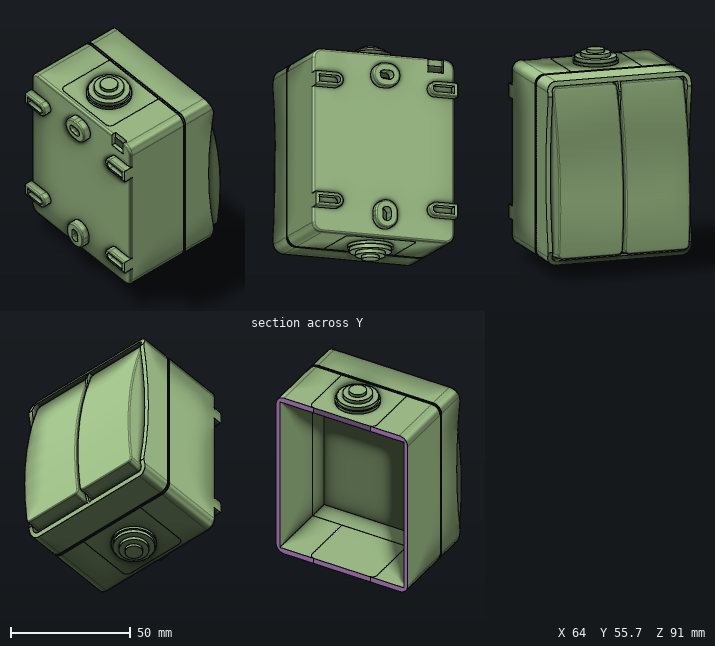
import cadquery as cq

WIDTH = 64.0
HEIGHT = 79.2
CORNER_RADIUS = 4.1
BACK_EDGE_RADIUS = 1.0
HALF_WIDTH = WIDTH / 2
HALF_HEIGHT = HEIGHT / 2

SIDE_WALL = 2.0
END_WALL = 2.8
BACK_WALL = 1.8
CAVITY_WIDTH = WIDTH - 2 * SIDE_WALL
CAVITY_HEIGHT = HEIGHT - 2 * END_WALL

SEAM_Y = 29.4
GROOVE_WIDTH = 0.9
GROOVE_DEPTH = 0.4

STANDOFF = 3.55
STANDOFF_EDGE_RADIUS = 0.6
FOOT_LENGTH = 12.5
FOOT_HEIGHT = 6.1
FOOT_Z = 26.0
FOOT_POCKET_WALL = 1.5
BOSS_Z = 29.9
BOSS_LENGTH = 12.0
BOSS_WIDTH = 10.0
SCREW_SLOT_LENGTH = 6.1
SCREW_SLOT_WIDTH = 3.8

NOTCH_X_MIN = 19.8
NOTCH_WIDTH = 7.1
NOTCH_DEPTH = 2.1
NOTCH_HEIGHT = 6.0

PLATE_WIDTH = 31.6
PLATE_BOTTOM_Y = 2.1
PLATE_CORNER_RADIUS = 2.3
GLAND_Y = 15.4
GLAND_STEPS = [(9.6, 1.3), (8.8, 2.9), (6.3, 4.55), (3.7, 5.9)]

COVER_END_Y = 43.95
CREST_Y = 46.0
CREST_Z = 33.5
HOLLOW_Y = 42.95
RECESS_FLOOR_Y = 40.95
COVER_FLOOR = 2.0
RECESS_CORNER_RADIUS = CORNER_RADIUS - SIDE_WALL
DIVIDER_WIDTH = 1.0

ROCKER_WIDTH = 28.7
ROCKER_PEAK_Y = 52.1
ROCKER_PEAK_Z = -13.1
ROCKER_UPPER_Y = 43.3
ROCKER_UPPER_Z = 36.7
ROCKER_LOWER_Y = 50.5
ROCKER_LOWER_Z = -35.7
ROCKER_FOOT_Z = -36.7
ROCKER_CORNER_RADIUS = 2.0
ROCKER_FACE_RADIUS = 0.55


def block(x_size, z_size, y_start, y_end):
    """Box centred on the Y axis between two depths."""
    mid_y = (y_start + y_end) / 2
    return cq.Workplane("XY", origin=(0, mid_y, 0)).box(x_size, y_end - y_start, z_size)


def rounded_block(x_size, z_size, radius, y_start, y_end):
    """Block with its four Y-running edges rounded."""
    return block(x_size, z_size, y_start, y_end).edges("|Y").fillet(radius)


def stadium(length, width, y_start, y_end):
    """Round-ended bar, long in X, between two depths."""
    return (
        cq.Workplane("XZ", origin=(0, y_end, 0))
        .slot2D(length, width)
        .extrude(y_end - y_start)
    )


def half_stadium(outer_x, inner_x, width, y_start, y_end):
    """Bar along X with a square end at outer_x and a round end at inner_x (outer_x < inner_x)."""
    radius = width / 2
    return (
        cq.Workplane("XZ", origin=(0, y_end, 0))
        .moveTo(outer_x, -radius)
        .lineTo(inner_x - radius, -radius)
        .threePointArc((inner_x, 0), (inner_x - radius, radius))
        .lineTo(outer_x, radius)
        .close()
        .extrude(y_end - y_start)
    )


def foot():
    """Left-hand foot at Z = 0: flush with the side face, with a blind pocket from the back."""
    inner_x = -HALF_WIDTH + FOOT_LENGTH
    body = half_stadium(-HALF_WIDTH, inner_x, FOOT_HEIGHT, -STANDOFF, BACK_EDGE_RADIUS)
    body = body.faces("<Y").edges("not <X").fillet(STANDOFF_EDGE_RADIUS)
    pocket = half_stadium(
        -HALF_WIDTH + FOOT_POCKET_WALL,
        inner_x - FOOT_POCKET_WALL,
        FOOT_HEIGHT - 2 * FOOT_POCKET_WALL,
        -STANDOFF,
        0,
    )
    return body.cut(pocket)


def boss(turn):
    """Screw boss at Z = 0, turned by an angle about Y."""
    body = stadium(BOSS_LENGTH, BOSS_WIDTH, -STANDOFF, BACK_WALL)
    body = body.faces("<Y").edges().fillet(STANDOFF_EDGE_RADIUS)
    return body.rotate((0, 0, 0), (0, 1, 0), turn)


def screw_slot(turn):
    """Through slot of a screw boss at Z = 0, turned by an angle about Y."""
    slot = stadium(SCREW_SLOT_LENGTH, SCREW_SLOT_WIDTH, -STANDOFF, BACK_WALL)
    return slot.rotate((0, 0, 0), (0, 1, 0), turn)


def latch_notch():
    """Corner notch; below the end wall it opens through the back wall into the cavity."""
    corner = (NOTCH_X_MIN, 0, HALF_HEIGHT - NOTCH_HEIGHT)
    notch = cq.Workplane("XY", origin=corner)
    return notch.box(NOTCH_WIDTH, NOTCH_DEPTH, NOTCH_HEIGHT, centered=False)


def plate():
    """Slide-in plate filling the upper end wall, open towards the seam."""
    slab = (
        cq.Workplane("XY", origin=(0, (PLATE_BOTTOM_Y + SEAM_Y) / 2, HALF_HEIGHT - END_WALL))
        .rect(PLATE_WIDTH, SEAM_Y - PLATE_BOTTOM_Y)
        .extrude(END_WALL)
    )
    return slab.edges("|Z and <Y").fillet(PLATE_CORNER_RADIUS)


def at_both_ends(shape):
    """The shape in the upper end and its mirror image in the lower end."""
    return [shape, shape.mirror("XY")]


def make_housing():
    housing = rounded_block(WIDTH, HEIGHT, CORNER_RADIUS, 0, SEAM_Y)
    housing = housing.faces("<Y").edges().fillet(BACK_EDGE_RADIUS)
    housing = housing.cut(block(CAVITY_WIDTH, CAVITY_HEIGHT, BACK_WALL, SEAM_Y))
    for plate_opening in at_both_ends(plate()):
        housing = housing.cut(plate_opening)
    housing = housing.cut(latch_notch())
    for foot_z in (-FOOT_Z, FOOT_Z):
        left_foot = foot().translate((0, 0, foot_z))
        housing = housing.union(left_foot).union(left_foot.mirror("YZ"))
    for boss_z, turn in ((BOSS_Z, 0), (-BOSS_Z, 90)):
        housing = housing.union(boss(turn).translate((0, 0, boss_z)))
        housing = housing.cut(screw_slot(turn).translate((0, 0, boss_z)))
    return housing


def make_gland():
    """Upper gland: plate and stepped grommet in one piece."""
    gland = plate()
    for radius, standoff in GLAND_STEPS:
        step = cq.Workplane("XY", origin=(0, GLAND_Y, HALF_HEIGHT)).circle(radius).extrude(standoff)
        gland = gland.union(step)
    return gland


def cover_profile(x_size):
    """Side profile of the cover, behind its bevelled and hollowed front, across a width in X."""
    return (
        cq.Workplane("YZ", origin=(-x_size / 2, 0, 0))
        .moveTo(SEAM_Y, -HALF_HEIGHT)
        .lineTo(COVER_END_Y, -HALF_HEIGHT)
        .lineTo(CREST_Y, -CREST_Z)
        .threePointArc((HOLLOW_Y, 0), (CREST_Y, CREST_Z))
        .lineTo(COVER_END_Y, HALF_HEIGHT)
        .lineTo(SEAM_Y, HALF_HEIGHT)
        .close()
        .extrude(x_size)
    )


def make_cover():
    lip_end_y = SEAM_Y + GROOVE_WIDTH
    lip = rounded_block(
        WIDTH - 2 * GROOVE_DEPTH,
        HEIGHT - 2 * GROOVE_DEPTH,
        CORNER_RADIUS - GROOVE_DEPTH,
        SEAM_Y,
        lip_end_y,
    )
    outline = rounded_block(WIDTH, HEIGHT, CORNER_RADIUS, lip_end_y, CREST_Y).union(lip)
    recess = rounded_block(
        WIDTH - 2 * SIDE_WALL,
        HEIGHT - 2 * SIDE_WALL,
        RECESS_CORNER_RADIUS,
        RECESS_FLOOR_Y,
        CREST_Y,
    )
    recess = recess.cut(cover_profile(DIVIDER_WIDTH))
    cavity = block(CAVITY_WIDTH, CAVITY_HEIGHT, SEAM_Y, RECESS_FLOOR_Y - COVER_FLOOR)
    return outline.intersect(cover_profile(WIDTH)).cut(recess).cut(cavity)


def make_rocker():
    """Right-hand rocker, standing on the recess floor against the divider."""
    body = (
        cq.Workplane("YZ", origin=(DIVIDER_WIDTH / 2, 0, 0))
        .moveTo(RECESS_FLOOR_Y, ROCKER_FOOT_Z)
        .lineTo(ROCKER_LOWER_Y, ROCKER_LOWER_Z)
        .threePointArc((ROCKER_PEAK_Y, ROCKER_PEAK_Z), (ROCKER_UPPER_Y, ROCKER_UPPER_Z))
        .lineTo(RECESS_FLOOR_Y, ROCKER_UPPER_Z)
        .close()
        .extrude(ROCKER_WIDTH)
    )
    body = body.faces("<Z or >Z").edges("not |X").fillet(ROCKER_CORNER_RADIUS)
    return body.faces(">Y").edges().fillet(ROCKER_FACE_RADIUS)


housing = make_housing()
glands = at_both_ends(make_gland())
cover = make_cover()
right_rocker = make_rocker()
rockers = [right_rocker, right_rocker.mirror("YZ")]

result = cq.Compound.makeCompound(
    [
        housing.val(),
        cover.val(),
        *[gland.val() for gland in glands],
        *[rocker.val() for rocker in rockers],
    ]
)